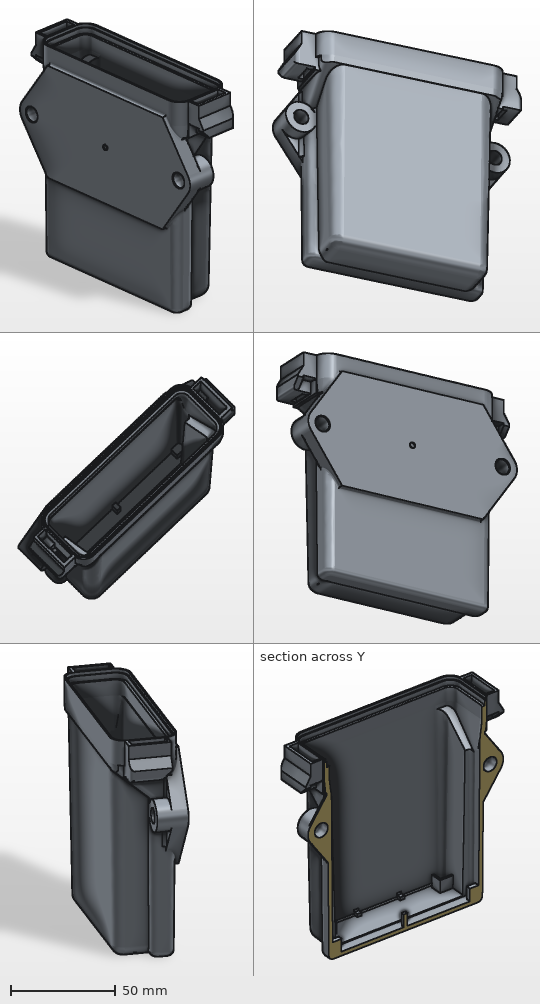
import cadquery as cq
import math

LENGTH = 118.8
DEPTH = 34.8
HEIGHT = 114.0
WALL = 2.6

PLATE_THICK = 8.2
PLATE_MID_Z = 75.1
PLATE_HALF_HEIGHT = 29.8
PLATE_HALF_FLAT = 39.7
EYE_X = 50.6
EYE_RADIUS = 8.1
EYE_DEPTH = 15.7
HOLE_DIAMETER = 7.6
HOLE_CHAMFER = 0.4
PLATE_FILLET = 0.8
JUNCTION_REACH = 4.8
MARGIN = 0.1
GUSSET_X = 48.6
GUSSET_LEG = 2.4
GUSSET_HALF_HEIGHT = 17.6
DIMPLE_RADIUS = 1.4
DIMPLE_DEPTH = 0.6

COLLAR_HALF_WIDTH = 49.2
COLLAR_FRONT = 2.0
COLLAR_BACK = DEPTH
COLLAR_RADIUS = 7.5
COLLAR_WALL = 3.1
COLLAR_BOTTOM = 101.3
RIM_STEPS = ((0.8, 1.8), (1.5, 4.8))

SHOULDER_BOTTOM = 77.2
SHOULDER_TAPER = 6.0
SLOPE_BACK = (DEPTH, 98.0)
SLOPE_FRONT = (15.9, 81.7)
SLOPE_REACH = 47.5
SHOULDER_HALF_WIDTH = 47.4
SHOULDER_FILLET = 3.6

FRONT_LOBE_HALF_WIDTH = 47.0
FRONT_LOBE_FRONT = 2.3
FRONT_LOBE_BACK = 16.2
FRONT_LOBE_RADIUS = 5.1
FRONT_LOBE_TAPER = 0.5
FRONT_LOBE_FILLET = 3.1

BACK_LOBE_HALF_WIDTH = 43.1
BACK_LOBE_FRONT = 7.1
BACK_LOBE_BACK = 34.3
BACK_LOBE_RADIUS = 7.4
BACK_LOBE_TAPER = 1.1
BACK_LOBE_FILLET = 5.7

EAR_FRONT = PLATE_THICK
EAR_BACK = 29.2
EAR_TOP_X = 56.3
EAR_TIP_X = LENGTH / 2
EAR_FLARE_TOP = 107.1
EAR_FLARE_BOTTOM = 101.9
EAR_BOTTOM = 95.9
EAR_TIP_RADIUS = 1.8
EAR_BACK_RADIUS = 2.1
EAR_CHAMFER = 5.0
SKIRT_BOTTOM = 94.4
POCKET_INNER_X = 49.5
POCKET_OUTER_X = 54.6
POCKET_FRONT = 9.4
POCKET_BACK = 27.3
POCKET_FLOOR = 103.3
FUNNEL_FRONT = 11.3
SLOT_OUTER_X = 52.3
SLOT_FRONT = 15.9
SLOT_BACK = 26.1

FRONT_FLOOR = WALL
BACK_FLOOR = FRONT_FLOOR + 0.6
FLOOR_ROOT = 1.8
BACK_BEVEL_FRONT = 29.1
BACK_RIB_X = 12.8
BACK_RIB_WIDTH = 2.6
BACK_RIB_FRONT = 27.2
BACK_RIB_STEP = 29.5
BACK_RIB_BASE = 1.8
BACK_RIB_RISE = 7.1
FRONT_RIB_WIDTH = 2.4
FRONT_RIB_BACK = 9.1
FRONT_RIB_HEIGHT = 7.1
PAD_INNER_X = 38.4
PAD_BACK = 9.9
PAD_HEIGHT = 7.1
POST_INNER_X = 30.9
POST_FRONT = 21.1
POST_BACK = 27.5
POST_WALL = 1.2
POST_HEIGHT = 7.1


def box(x0, x1, y0, y1, z0, z1):
    """Block between two opposite corners."""
    return cq.Workplane("XY").box(x1 - x0, y1 - y0, z1 - z0, centered=False).translate((x0, y0, z0))


def tapered_block(half_width, front, back, radius, top, bottom, taper=0.0):
    """Block with rounded upright corners that narrows downwards from its top."""
    return (
        cq.Workplane("XY")
        .workplane(offset=top)
        .center(0, (front + back) / 2)
        .sketch()
        .rect(2 * half_width, back - front)
        .vertices()
        .fillet(radius)
        .finalize()
        .extrude(bottom - top, taper=taper)
    )


def both_ends(solid):
    """The solid together with its mirror image at the other end."""
    return solid.union(solid.mirror("YZ"))


def collar(inset):
    return tapered_block(
        COLLAR_HALF_WIDTH - inset, COLLAR_FRONT + inset, COLLAR_BACK - inset,
        COLLAR_RADIUS - inset, HEIGHT, COLLAR_BOTTOM,
    )


def shoulder(inset, half_width):
    """Tapered block above a sloping underside whose side edges are rounded."""
    block = tapered_block(
        COLLAR_HALF_WIDTH - inset, COLLAR_FRONT + inset, COLLAR_BACK - inset,
        COLLAR_RADIUS - inset, COLLAR_BOTTOM, SHOULDER_BOTTOM, SHOULDER_TAPER,
    )
    slope = math.degrees(math.atan2(SLOPE_BACK[1] - SLOPE_FRONT[1], SLOPE_BACK[0] - SLOPE_FRONT[0]))
    above_slope = (
        box(-half_width, half_width, -SLOPE_REACH, SLOPE_REACH, inset, SLOPE_REACH)
        .edges("|Y and <Z")
        .fillet(SHOULDER_FILLET - inset)
        .rotate((0, 0, 0), (1, 0, 0), slope)
        .translate((0, *SLOPE_FRONT))
    )
    return block.intersect(above_slope)


def front_lobe(inset, floor):
    return tapered_block(
        FRONT_LOBE_HALF_WIDTH - inset, FRONT_LOBE_FRONT + inset, FRONT_LOBE_BACK - inset,
        FRONT_LOBE_RADIUS - inset, COLLAR_BOTTOM, floor, FRONT_LOBE_TAPER,
    )


def back_lobe(inset, floor):
    return tapered_block(
        BACK_LOBE_HALF_WIDTH - inset, BACK_LOBE_FRONT + inset, BACK_LOBE_BACK - inset,
        BACK_LOBE_RADIUS - inset, COLLAR_BOTTOM, floor, BACK_LOBE_TAPER,
    )


def outer_body():
    """Collar, shoulder at full width between the ears and narrower below them, and both lobes."""
    front = front_lobe(0, 0).faces("<Z").edges().fillet(FRONT_LOBE_FILLET)
    back = back_lobe(0, 0).faces("<Z").edges().fillet(BACK_LOBE_FILLET)
    narrow_shoulder = shoulder(0, SHOULDER_HALF_WIDTH)
    full_shoulder = shoulder(0, COLLAR_HALF_WIDTH).intersect(
        box(-COLLAR_HALF_WIDTH, COLLAR_HALF_WIDTH, 0, EAR_BACK, SKIRT_BOTTOM, COLLAR_BOTTOM)
    )
    return collar(0).union(narrow_shoulder).union(full_shoulder).union(front).union(back)


def cavity():
    """Hollow inside the collar, shoulder and lobes, with two steps cut into the rim."""
    steps = [
        collar(wall_left).intersect(
            box(-EAR_TIP_X, EAR_TIP_X, 0, COLLAR_BACK, HEIGHT - depth, HEIGHT)
        )
        for wall_left, depth in RIM_STEPS
    ]
    return (
        collar(COLLAR_WALL)
        .union(shoulder(COLLAR_WALL, COLLAR_HALF_WIDTH - COLLAR_WALL))
        .union(front_lobe(WALL, FRONT_FLOOR))
        .union(back_lobe(WALL, BACK_FLOOR))
        .union(steps[0])
        .union(steps[1])
    )


def mounting_plate():
    """Hexagonal plate whose slanted sides run tangent to the two eyes."""
    dx = EYE_X - PLATE_HALF_FLAT
    distance = math.hypot(dx, PLATE_HALF_HEIGHT)
    normal = math.atan2(PLATE_HALF_HEIGHT, -dx) - math.acos(EYE_RADIUS / distance)
    tangent_x = EYE_X + EYE_RADIUS * math.cos(normal)
    tangent_z = EYE_RADIUS * math.sin(normal)
    half_plate = (
        cq.Workplane("XZ", origin=(0, 0, PLATE_MID_Z))
        .moveTo(0, PLATE_HALF_HEIGHT)
        .lineTo(PLATE_HALF_FLAT, PLATE_HALF_HEIGHT)
        .lineTo(tangent_x, tangent_z)
        .threePointArc((EYE_X + EYE_RADIUS, 0), (tangent_x, -tangent_z))
        .lineTo(PLATE_HALF_FLAT, -PLATE_HALF_HEIGHT)
        .lineTo(0, -PLATE_HALF_HEIGHT)
        .close()
        .extrude(-PLATE_THICK)
    )
    eye = (
        cq.Workplane("XZ", origin=(EYE_X, PLATE_THICK, PLATE_MID_Z))
        .circle(EYE_RADIUS)
        .extrude(PLATE_THICK - EYE_DEPTH)
    )
    gusset = (
        cq.Workplane("XY", origin=(GUSSET_X, PLATE_THICK, PLATE_MID_Z - GUSSET_HALF_HEIGHT))
        .lineTo(-GUSSET_LEG, 0)
        .lineTo(-GUSSET_LEG, GUSSET_LEG)
        .close()
        .extrude(2 * GUSSET_HALF_HEIGHT)
    )
    return both_ends(half_plate.union(eye).union(gusset))


def mounting_holes():
    hole = (
        cq.Workplane("XZ", origin=(EYE_X, 0, PLATE_MID_Z))
        .circle(HOLE_DIAMETER / 2)
        .extrude(-EYE_DEPTH)
    )
    countersink = cq.Solid.makeCone(
        HOLE_DIAMETER / 2 + HOLE_CHAMFER, HOLE_DIAMETER / 2, HOLE_CHAMFER,
        pnt=cq.Vector(EYE_X, 0, PLATE_MID_Z), dir=cq.Vector(0, 1, 0),
    )
    return both_ends(hole.union(cq.Workplane(countersink)))


def ears():
    root_x = COLLAR_HALF_WIDTH - WALL
    profile = (
        cq.Workplane("XZ", origin=(0, EAR_FRONT, 0))
        .moveTo(root_x, HEIGHT)
        .lineTo(EAR_TOP_X, HEIGHT)
        .lineTo(EAR_TOP_X, EAR_FLARE_TOP)
        .lineTo(EAR_TIP_X, EAR_FLARE_BOTTOM)
        .lineTo(EAR_TIP_X, EAR_BOTTOM)
        .lineTo(root_x, EAR_BOTTOM)
        .close()
        .extrude(EAR_FRONT - EAR_BACK)
        .edges("|Y and >X and <Z")
        .fillet(EAR_TIP_RADIUS)
    )
    plan = (
        box(root_x, EAR_TIP_X, EAR_FRONT, EAR_BACK, EAR_BOTTOM, HEIGHT)
        .edges("|Z and >X and >Y")
        .fillet(EAR_BACK_RADIUS)
    )
    chamfer_wedge = (
        cq.Workplane("YZ", origin=(EAR_TOP_X, 0, 0))
        .moveTo(EAR_FRONT, EAR_BOTTOM)
        .lineTo(EAR_FRONT + EAR_CHAMFER, EAR_BOTTOM)
        .lineTo(EAR_FRONT, EAR_BOTTOM + EAR_CHAMFER)
        .close()
        .extrude(EAR_TIP_X - EAR_TOP_X)
    )
    skirt = box(root_x, COLLAR_HALF_WIDTH, EAR_FRONT, EAR_BACK, SKIRT_BOTTOM, COLLAR_BOTTOM)
    recess = box(
        root_x, EAR_TOP_X, EAR_FRONT, EAR_FRONT + EAR_CHAMFER, EAR_BOTTOM, EAR_FLARE_BOTTOM
    )
    return both_ends(profile.intersect(plan).cut(chamfer_wedge).cut(recess).union(skirt))


def ear_pockets():
    """Funnels through the ears, closed at the front by a low floor."""
    top_size = (POCKET_OUTER_X - POCKET_INNER_X, POCKET_BACK - POCKET_FRONT)
    bottom_size = (SLOT_OUTER_X - POCKET_INNER_X, SLOT_BACK - FUNNEL_FRONT)
    funnel = (
        cq.Workplane("XY", origin=(POCKET_INNER_X, POCKET_FRONT, HEIGHT))
        .rect(*top_size, centered=False)
        .workplane(offset=EAR_BOTTOM - HEIGHT)
        .center(0, FUNNEL_FRONT - POCKET_FRONT)
        .rect(*bottom_size, centered=False)
        .loft(ruled=True)
    )
    floor = box(POCKET_INNER_X, EAR_TIP_X, EAR_FRONT, SLOT_FRONT, EAR_BOTTOM, POCKET_FLOOR)
    return both_ends(funnel.cut(floor))


def inner_details():
    """Floor bevel, ribs, posts and pads, trimmed to stay inside the walls."""
    floor_back = BACK_LOBE_BACK - WALL
    bevel = (
        cq.Workplane("YZ")
        .moveTo(floor_back, BACK_FLOOR)
        .lineTo(BACK_BEVEL_FRONT, BACK_FLOOR)
        .lineTo(floor_back, BACK_FLOOR + floor_back - BACK_BEVEL_FRONT)
        .close()
        .extrude(BACK_LOBE_HALF_WIDTH, both=True)
    )
    back_rib = (
        cq.Workplane("YZ", origin=(BACK_RIB_X, 0, 0))
        .moveTo(floor_back, FRONT_FLOOR)
        .lineTo(BACK_RIB_FRONT, FRONT_FLOOR)
        .lineTo(BACK_RIB_FRONT, BACK_FLOOR + BACK_RIB_BASE)
        .lineTo(BACK_RIB_STEP, BACK_FLOOR + BACK_RIB_BASE)
        .lineTo(floor_back, BACK_FLOOR + BACK_RIB_RISE)
        .close()
        .extrude(BACK_RIB_WIDTH / 2, both=True)
    )
    front_rib = box(
        -FRONT_RIB_WIDTH / 2, FRONT_RIB_WIDTH / 2,
        FRONT_LOBE_FRONT + WALL, FRONT_RIB_BACK, FLOOR_ROOT, FRONT_FLOOR + FRONT_RIB_HEIGHT,
    )
    post_outer_x = BACK_LOBE_HALF_WIDTH - WALL
    post_top = BACK_FLOOR + POST_HEIGHT
    post = box(POST_INNER_X, post_outer_x, POST_FRONT, POST_BACK, FLOOR_ROOT, post_top)
    post = post.cut(
        box(POST_INNER_X + POST_WALL, post_outer_x, POST_FRONT + POST_WALL, POST_BACK, 0, post_top)
    )
    pad = box(
        PAD_INNER_X, FRONT_LOBE_HALF_WIDTH, FRONT_LOBE_FRONT, PAD_BACK,
        FLOOR_ROOT, FRONT_FLOOR + PAD_HEIGHT,
    )
    inside = front_lobe(WALL / 2, FLOOR_ROOT).union(back_lobe(WALL / 2, FLOOR_ROOT))
    return both_ends(back_rib.union(post).union(pad)).union(front_rib).union(bevel).intersect(inside)


def body_with_plate():
    """Outer body and plate, with a fillet where the plate leaves the front wall."""
    body = outer_body().union(mounting_plate())
    junction = cq.selectors.BoxSelector(
        (-COLLAR_HALF_WIDTH, COLLAR_FRONT - MARGIN, PLATE_MID_Z - PLATE_HALF_HEIGHT - MARGIN),
        (COLLAR_HALF_WIDTH, JUNCTION_REACH, PLATE_MID_Z + PLATE_HALF_HEIGHT + MARGIN),
    )
    return body.edges(junction).edges("not %CIRCLE").fillet(PLATE_FILLET)


def dimple():
    return (
        cq.Workplane("XZ", origin=(0, 0, PLATE_MID_Z))
        .circle(DIMPLE_RADIUS)
        .extrude(-DIMPLE_DEPTH)
    )


result = (
    body_with_plate()
    .union(ears())
    .cut(cavity())
    .union(inner_details())
    .cut(ear_pockets())
    .cut(mounting_holes())
    .cut(dimple())
)